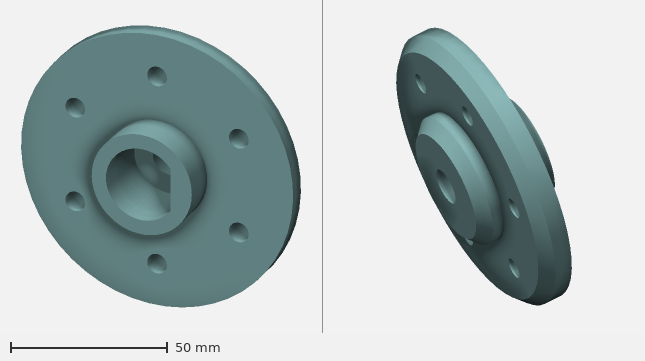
import cadquery as cq

total_length = 30.0
hub_length = 12.0
boss_height = 8.0
plate_thickness = total_length - hub_length - boss_height
chamfer = 4.0

plate_diameter = 95
boss_diameter = 45.0
hub_diameter = 35.0

bore_diameter = 25.0
flat_distance = 10.0
bore_depth = hub_length + plate_thickness
through_diameter = 12.0

bolt_count = 6
bolt_diameter = 6.8
bolt_circle_diameter = 65.9


def cylinder(diameter, start_y, length):
    """Cylinder about the Y axis, running from start_y toward +Y."""
    axis = cq.Vector(0, 1, 0)
    return cq.Workplane(cq.Solid.makeCylinder(diameter / 2, length, cq.Vector(0, start_y, 0), axis))


def body():
    """Hub, plate and boss, with the +Y rims of plate and boss chamfered."""
    hub = cylinder(hub_diameter, -hub_length, hub_length)
    plate = cylinder(plate_diameter, 0, plate_thickness).faces(">Y").chamfer(chamfer)
    boss = cylinder(boss_diameter, plate_thickness, boss_height).faces(">Y").chamfer(chamfer)
    return plate.union(hub).union(boss)


def d_bore():
    """Round bore cut off by a flat on its +X side."""
    round_bore = cylinder(bore_diameter, -hub_length, bore_depth)
    flat_side = (
        cq.Workplane("XY")
        .box(bore_diameter, total_length, bore_diameter, centered=(False, False, True))
        .translate((flat_distance, -hub_length, 0))
    )
    return round_bore.cut(flat_side)


def bolt_holes():
    """Ring of holes through the plate."""
    first_hole = cylinder(bolt_diameter, 0, plate_thickness).translate((0, 0, bolt_circle_diameter / 2))
    holes = first_hole
    for index in range(1, bolt_count):
        angle = index * 360 / bolt_count
        holes = holes.union(first_hole.rotate((0, 0, 0), (0, 1, 0), angle))
    return holes


through_hole = cylinder(through_diameter, -hub_length, total_length)
result = body().cut(d_bore()).cut(through_hole).cut(bolt_holes())